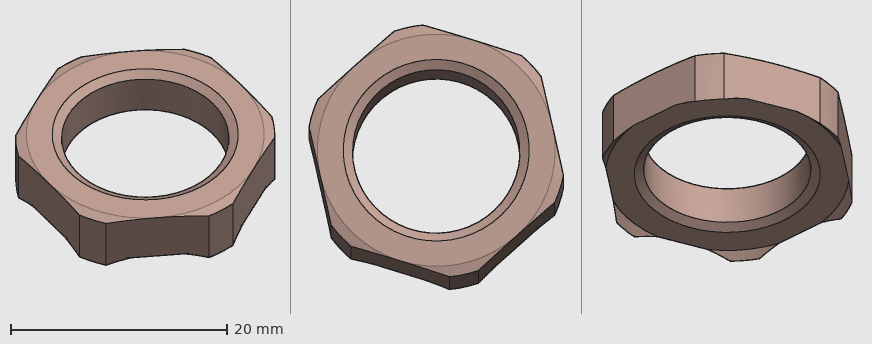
import cadquery as cq
import math

corner_diameter = 23.98
across_flats = 22.0
height = 5.7
bore_diameter = 15.47
bore_mouth_diameter = 17.2
bore_chamfer_angle = 30.0
crown_drop = 0.26
recess_depth = 0.72
side_count = 6

corner_radius = corner_diameter / 2
flat_radius = across_flats / 2
bore_radius = bore_diameter / 2
mouth_radius = bore_mouth_diameter / 2
bore_chamfer_depth = (mouth_radius - bore_radius) * math.tan(math.radians(bore_chamfer_angle))

recess_roof_radius = corner_radius - recess_depth


def hexagon_prism():
    """Hexagonal blank with two flats facing +Y and -Y."""
    across_corners = across_flats / math.cos(math.pi / side_count)
    return cq.Workplane("XY").polygon(side_count, across_corners).extrude(height)


def ring():
    """Turned ring: crowned top, bore chamfered at both ends and conical recess below."""
    profile = [
        (corner_radius, 0),
        (corner_radius, height - crown_drop),
        (flat_radius, height),
        (mouth_radius, height),
        (bore_radius, height - bore_chamfer_depth),
        (bore_radius, recess_depth + bore_chamfer_depth),
        (mouth_radius, recess_depth),
        (recess_roof_radius, recess_depth),
    ]
    return cq.Workplane("XZ").polyline(profile).close().revolve(360, (0, 0, 0), (0, 1, 0))


result = hexagon_prism().intersect(ring())